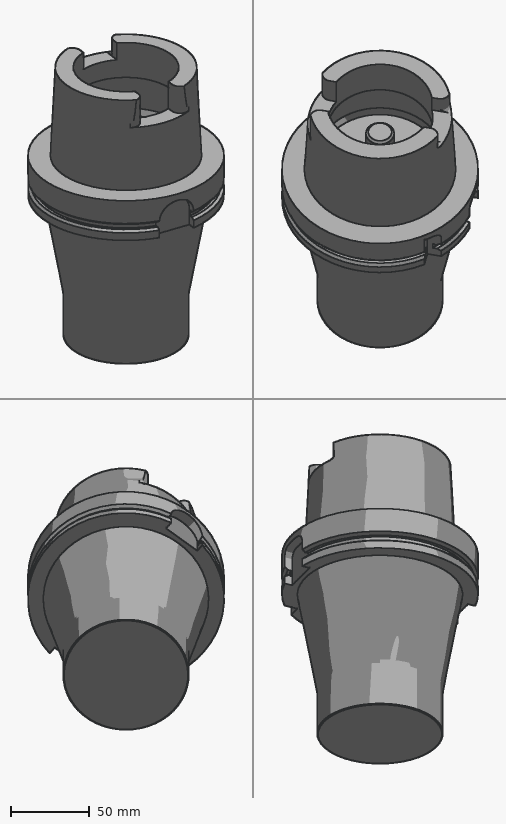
import cadquery as cq

total_height = 192.9
flange_bottom = 101.0
flange_top = 129.6

nose_radius = 80.0 / 2
nose_chamfer = 0.5
nose_top = 29.9
blend_top = 32.5
blend_radius = 40.3
cone_top_radius = 52.7

flange_radius = 125.0 / 2
groove_lip_radius = 60.4
groove_radius = 58.3
groove_bottom_edge = 106.5
groove_floor_bottom = 107.8
groove_floor_top = 111.5
groove_top_edge = 113.2

shank_base_radius = 48.2
shank_top_radius = 45.1
bore_radius = 67.1 / 2
bore_depth = 25.0
chamber_radius = 80.0 / 2
chamber_wall_depth = 50.5
chamber_depth = 55.0
chamber_floor_radius = 38.2

pin_radius = 18.0 / 2
pin_chamfer = 1.5
pin_top = 165.9

drive_width = 25.0
left_drive_depth = 12.2
right_drive_depth = 19.3
lug_corner_radius = 6.0
lug_side_x = 41.5
left_lug_foot_fillet = 2.5
right_corner_reach = 22.0

pocket_width = 25.7
pocket_floor_x = 56.0
pocket_top = 125.0
left_pocket_corner = 5.8
right_pocket_corner = 12.5
notch_floor_x = 39.4
notch_side_y = 39.5

reach = 77.2


def revolved_body():
    """Solid body of the nose, flange and shank."""
    return (
        cq.Workplane("XZ")
        .moveTo(0, 0)
        .lineTo(nose_radius - nose_chamfer, 0)
        .lineTo(nose_radius, nose_chamfer)
        .lineTo(nose_radius, nose_top)
        .lineTo(blend_radius, blend_top)
        .lineTo(cone_top_radius, flange_bottom)
        .lineTo(flange_radius, flange_bottom)
        .lineTo(flange_radius, groove_bottom_edge)
        .lineTo(groove_lip_radius, groove_floor_bottom)
        .lineTo(groove_radius, groove_floor_bottom)
        .lineTo(groove_radius, groove_floor_top)
        .lineTo(groove_lip_radius, groove_floor_top)
        .lineTo(flange_radius, groove_top_edge)
        .lineTo(flange_radius, flange_top)
        .lineTo(shank_base_radius, flange_top)
        .lineTo(shank_top_radius, total_height)
        .lineTo(0, total_height)
        .close()
        .revolve(360, (0, 0, 0), (0, 1, 0))
    )


def box_between(x_range, y_range, z_range):
    """Axis-aligned box between the given limits."""
    size = [high - low for low, high in (x_range, y_range, z_range)]
    corner = (x_range[0], y_range[0], z_range[0])
    return cq.Workplane("XY").box(*size, centered=False).translate(corner)


def lug_profile(floor_z, foot_fillet):
    """Half section of a lug end: a vertical wall, flared at the foot if asked."""
    wall_x = lug_corner_radius
    profile = cq.Workplane("XZ").moveTo(0, floor_z)
    if foot_fillet > 0:
        profile = profile.lineTo(wall_x + foot_fillet, floor_z).radiusArc(
            (wall_x, floor_z + foot_fillet), foot_fillet
        )
    else:
        profile = profile.lineTo(wall_x, floor_z)
    return profile.lineTo(wall_x, total_height).lineTo(0, total_height).close()


def drive_slot(depth, foot_fillet, corner_reach, flat_side):
    """Slot on the +X side, with the lug corners beside it rounded off.

    The rounding stops at Y = corner_reach; flat_side continues the lug end
    past the quarter round as a flat wall instead of following the full circle.
    """
    floor_z = total_height - depth
    half_width = drive_width / 2
    corner_x = lug_side_x - lug_corner_radius
    corner_y = half_width + lug_corner_radius
    slot = box_between((0, reach), (-half_width, half_width), (floor_z, total_height))

    round_end = lug_profile(floor_z, foot_fillet).revolve(360, (0, 0, 0), (0, 1, 0))
    corner = box_between((corner_x, reach), (half_width, corner_reach), (floor_z, total_height))
    corner = corner.cut(round_end.translate((corner_x, corner_y, 0)))
    if flat_side:
        flat_end = lug_profile(floor_z, foot_fillet).extrude(-reach)
        corner = corner.cut(flat_end.translate((corner_x, corner_y, 0)))
    return slot.union(corner).union(corner.mirror("XZ"))


def flange_pocket(corner_radius):
    """Flat-floored pocket on the +X side with rounded upper corners."""
    half_width = pocket_width / 2
    pocket = box_between(
        (pocket_floor_x, reach), (-half_width, half_width), (flange_bottom, pocket_top)
    )
    return pocket.edges("|X and >Z").fillet(corner_radius)


def rim_notch():
    """Flat notch in the flange on the -X, +Y side with one rounded upper corner."""
    notch = box_between(
        (-reach, -notch_floor_x), (notch_side_y, reach), (flange_bottom, pocket_top)
    )
    return notch.edges("|X and >Z and <Y").fillet(left_pocket_corner)


def to_left(cutter):
    """Mirror a +X side cutter to the -X side."""
    return cutter.mirror("YZ")


def stepped_bore():
    """Bore through the rim opening into a wider chamber with a tapered foot."""
    lip_z = total_height - bore_depth
    floor_z = total_height - chamber_depth
    return (
        cq.Workplane("XZ")
        .moveTo(0, total_height)
        .lineTo(bore_radius, total_height)
        .lineTo(bore_radius, lip_z)
        .lineTo(chamber_radius, lip_z)
        .lineTo(chamber_radius, total_height - chamber_wall_depth)
        .lineTo(chamber_floor_radius, floor_z)
        .lineTo(0, floor_z)
        .close()
        .revolve(360, (0, 0, 0), (0, 1, 0))
    )


def central_pin():
    """Chamfered pin rising from the chamber floor."""
    floor_z = total_height - chamber_depth
    return (
        cq.Workplane("XY")
        .workplane(offset=floor_z)
        .circle(pin_radius)
        .extrude(pin_top - floor_z)
        .faces(">Z")
        .chamfer(pin_chamfer)
    )


result = (
    revolved_body()
    .cut(stepped_bore())
    .cut(to_left(drive_slot(left_drive_depth, left_lug_foot_fillet, reach, True)))
    .cut(drive_slot(right_drive_depth, 0, right_corner_reach, False))
    .cut(to_left(flange_pocket(left_pocket_corner)))
    .cut(flange_pocket(right_pocket_corner))
    .cut(rim_notch())
    .union(central_pin())
)